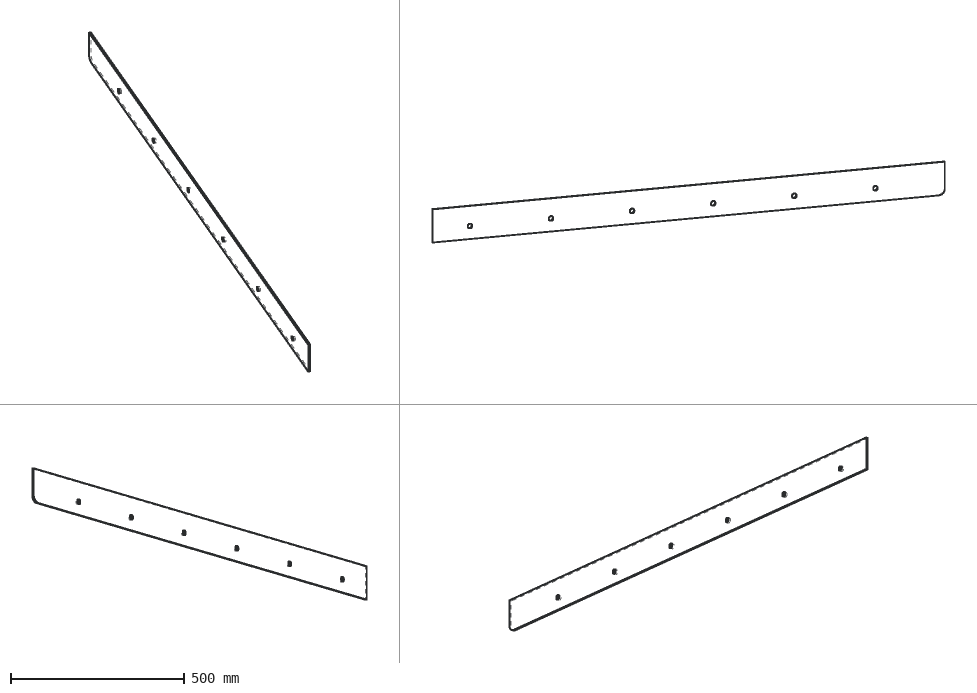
import cadquery as cq

length = 1579.0
thickness = 6.0
height = 99.0

corner_radius = 20.0

hole_count = 6
hole_pitch = 250.0
hole_diameter = 14.0
first_hole_from_end = 214.0
hole_height = 39.0


def make_bar():
    """Rectangular bar with its lower -X corner rounded through the thickness."""
    bar = cq.Workplane("XY").box(length, thickness, height)
    return bar.faces("<X").edges("<Z").fillet(corner_radius)


def make_holes():
    """Cylinders along Y, evenly pitched along the bar."""
    first_x = -length / 2 + first_hole_from_end
    hole_z = -height / 2 + hole_height
    centres = [(first_x + i * hole_pitch, hole_z) for i in range(hole_count)]
    return (
        cq.Workplane("XZ")
        .pushPoints(centres)
        .circle(hole_diameter / 2)
        .extrude(thickness, both=True)
    )


result = make_bar().cut(make_holes())